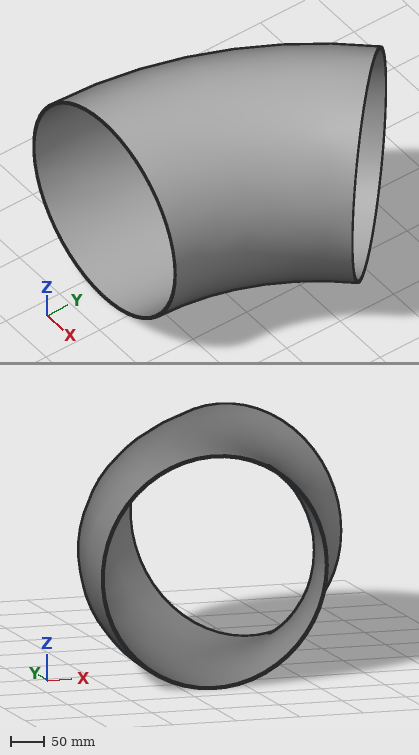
import cadquery as cq
import math

bend_angle = 45.0
end_height = 503.5
bend_ratio = 1.5
wall = 3.0

outer_diameter = end_height / ((bend_ratio + 0.5) * math.sin(math.radians(bend_angle)))
outer_radius = outer_diameter / 2
bend_radius = bend_ratio * outer_diameter


def bent_tube():
    """Ring facing -Y, swept about a Z axis on its +X side."""
    ring = cq.Workplane("XZ").circle(outer_radius).circle(outer_radius - wall)
    bend_axis_start = (bend_radius, 5, 0)
    bend_axis_end = (bend_radius, 0, 0)
    return ring.revolve(bend_angle, bend_axis_start, bend_axis_end)


result = bent_tube()